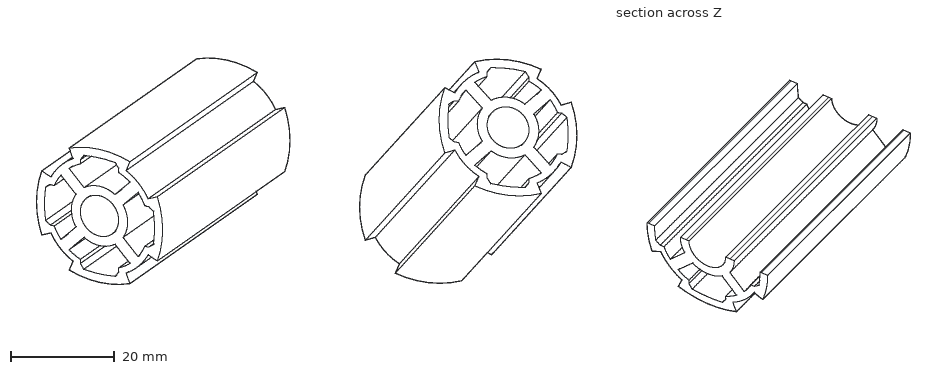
import cadquery as cq
import math

length = 50.0
shell_outer_radius = 12.3
shell_inner_radius = 10.9
hub_radius = 6.25
bore_radius = 4.25
rib_width = 2.55
lobe_count = 4

lobe_height = 14.0
crown_radius = 20.0
lobe_tip_half_width = 6.75
lobe_root_half_width = 5.9

recess_height = 12.2
recess_roof_radius = 26.0
recess_roof_half_width = 3.5
recess_half_width = 4.25
recess_shoulder_height = 10.9


def height_on_circle(radius, x):
    return math.sqrt(radius**2 - x**2)


def height_on_crown(top, radius, x):
    """Height at x of an arc of the given radius that peaks at top on the centre line."""
    return top - radius + height_on_circle(radius, x)


def extrude(sketch):
    """Extrude an XZ sketch symmetrically about the XZ plane."""
    return sketch.extrude(length / 2, both=True)


def cylinder(radius):
    return extrude(cq.Workplane("XZ").circle(radius))


def make_lobe():
    """Solid pad on the +Z side, reaching down into the shell wall."""
    tip_z = height_on_crown(lobe_height, crown_radius, lobe_tip_half_width)
    root_z = height_on_circle(shell_outer_radius, lobe_root_half_width)
    outline = (
        cq.Workplane("XZ")
        .moveTo(0, 0)
        .lineTo(lobe_root_half_width, root_z)
        .lineTo(lobe_tip_half_width, tip_z)
        .threePointArc((0, lobe_height), (-lobe_tip_half_width, tip_z))
        .lineTo(-lobe_root_half_width, root_z)
        .close()
    )
    return extrude(outline)


def make_window():
    """Opening on the +Z side between hub, two ribs, shell and lobe."""
    half_rib_angle_hub = math.asin(rib_width / 2 / hub_radius)
    half_rib_angle_shell = math.asin(rib_width / 2 / shell_inner_radius)
    hub_angle = math.pi / lobe_count - half_rib_angle_hub
    shell_angle = math.pi / lobe_count - half_rib_angle_shell
    hub_x = hub_radius * math.sin(hub_angle)
    hub_z = hub_radius * math.cos(hub_angle)
    shell_x = shell_inner_radius * math.sin(shell_angle)
    shell_z = shell_inner_radius * math.cos(shell_angle)

    step_z = height_on_circle(shell_inner_radius, recess_half_width)
    roof_z = height_on_crown(recess_height, recess_roof_radius, recess_roof_half_width)
    mid_x = (shell_x + recess_half_width) / 2
    mid_z = height_on_circle(shell_inner_radius, mid_x)
    outline = (
        cq.Workplane("XZ")
        .moveTo(-hub_x, hub_z)
        .threePointArc((0, hub_radius), (hub_x, hub_z))
        .lineTo(shell_x, shell_z)
        .threePointArc((mid_x, mid_z), (recess_half_width, step_z))
        .lineTo(recess_half_width, recess_shoulder_height)
        .lineTo(recess_roof_half_width, roof_z)
        .threePointArc((0, recess_height), (-recess_roof_half_width, roof_z))
        .lineTo(-recess_half_width, recess_shoulder_height)
        .lineTo(-recess_half_width, step_z)
        .threePointArc((-mid_x, mid_z), (-shell_x, shell_z))
        .close()
    )
    return extrude(outline)


def turned(body, index):
    """Turn a body about the Y axis to the given lobe position."""
    return body.rotate((0, 0, 0), (0, 1, 0), index * 360 / lobe_count)


result = cylinder(shell_outer_radius)
for i in range(lobe_count):
    result = result.union(turned(make_lobe(), i))
for i in range(lobe_count):
    result = result.cut(turned(make_window(), i))
result = result.cut(cylinder(bore_radius))